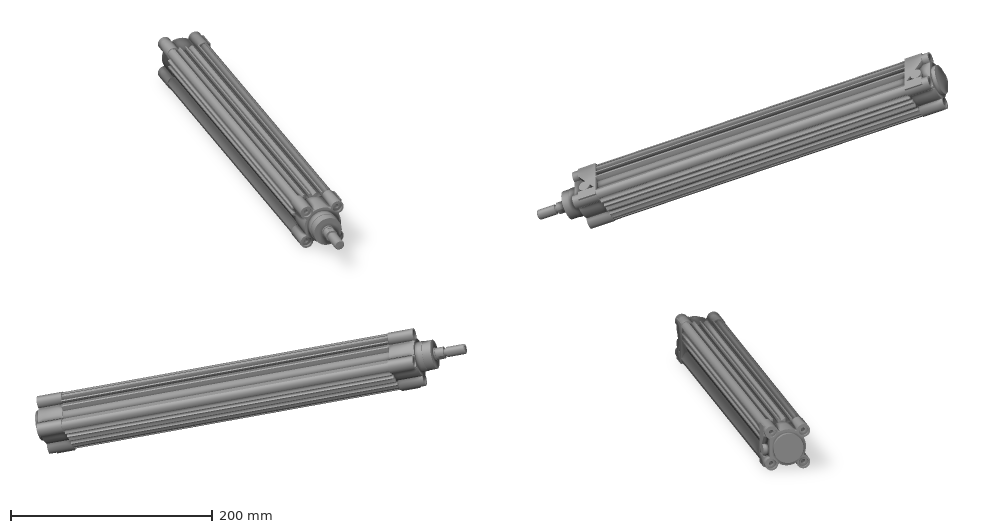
import cadquery as cq
import math


total_length = 446.0
stub_length = 4.0
cap_length = 26.0
nose_length = 16.0
collar_length = 7.0
thread_length = 22.0
relief_length = 2.5
rod_reach = 26.5
barrel_start = stub_length + cap_length
front_face = total_length - thread_length - rod_reach
barrel_end = front_face - cap_length
barrel_length = barrel_end - barrel_start

cap_width = 46.0
boss_pitch = 32.5
boss_radius = (cap_width - boss_pitch) / 2
core_half_width = 16.5
pad_radius = 18.7
pad_half_width = 7.5
stub_radius = 15.0
nose_radius = 14.5
lip_radius = 6.5
lip_length = 2.0
recess_radius = 5.0
recess_depth = 2.5
screw_hole_radius = 2.2
screw_hole_depth = 11.0
drill_tip_depth = 1.5
boss_centres = [(y * boss_pitch / 2, z * boss_pitch / 2) for y in (-1, 1) for z in (-1, 1)]

block_setback = 6.5
block_slope_run = 17.0
block_half_height = 21.0
block_root = 18.0
block_slope_half_height = 10.5
port_radius = 6.0
port_drop = 5.0
port_setback = 7.5

barrel_half_width = 22.5
tube_radius = 18.0
corner_radius = barrel_half_width - boss_pitch / 2
slot_inner = 4.0
slot_outer = 9.0
slot_undercut = 0.5
slot_lip = 2.5
slot_floor = 18.0
vee_half_width = 2.5
vee_floor = 20.0
groove_inner = 10.3
groove_bottom = 12.5
ledge_inner = 15.0
ledge_outer = 17.5
ledge_height = 21.5
groove_floor = 18.7
hollow_edge = 9.5
hollow_edge_height = 18.5
hollow_outer = 15.5

rod_diameter = 12.0
rod_radius = rod_diameter / 2
thread_diameter = 10.3
thread_radius = thread_diameter / 2
relief_radius = 4.0
thread_chamfer = 1.0
flats_width = 10.5
flats_length = 6.0


def cylinder_x(radius, start, length):
    """Solid round bar along X."""
    return cq.Workplane("YZ", origin=(start, 0, 0)).circle(radius).extrude(length)


def box_x(start, length, y_min, y_max, z_min, z_max):
    """Block given by its start and length along X and its Y and Z limits."""
    box = cq.Workplane("XY").box(length, y_max - y_min, z_max - z_min, centered=False)
    return box.translate((start, y_min, z_min))


def make_cap_core():
    """Square core with a clipped round pad swelling from its sides."""
    core = box_x(0, cap_length, -core_half_width, core_half_width, -core_half_width, core_half_width)
    disc = cylinder_x(pad_radius, 0, cap_length)
    upright = box_x(0, cap_length, -pad_half_width, pad_half_width, -pad_radius, pad_radius)
    level = box_x(0, cap_length, -pad_radius, 0, -pad_half_width, pad_half_width)
    return core.union(disc.intersect(upright.union(level)))


def make_port_block():
    """Block on the +Y side, with a boss for the port in front of its sloping face."""
    outer_y = cap_width / 2
    block_length = cap_length - block_setback
    block = box_x(block_setback, block_length, block_root, outer_y, -block_half_height, block_half_height)
    root = box_x(0, cap_length, 0, block_root, -block_slope_half_height, block_slope_half_height)
    slope_outline = [
        (block_setback, block_slope_half_height),
        (block_setback + block_slope_run, -block_slope_half_height),
        (block_setback, -block_slope_half_height),
    ]
    slope = cq.Workplane("XZ").polyline(slope_outline).close().extrude(-outer_y)
    port = (
        cq.Workplane("XZ", origin=(port_setback + port_radius, 0, -port_drop))
        .circle(port_radius)
        .extrude(-outer_y)
    )
    return block.cut(slope).union(root).union(port)


def make_screw_hole():
    """Cutter for a recessed screw hole with a conical tip, entering along +X from X = 0."""
    outline = [
        (0, 0),
        (0, recess_radius),
        (recess_depth, recess_radius),
        (recess_depth, screw_hole_radius),
        (screw_hole_depth, screw_hole_radius),
        (screw_hole_depth + drill_tip_depth, 0),
    ]
    return cq.Workplane("XY").polyline(outline).close().revolve(360, (0, 0, 0), (1, 0, 0))


def make_cap_body():
    """Cap with its outer face at X = 0 and its inner face at X = cap_length."""
    bosses = cq.Workplane("YZ").pushPoints(boss_centres).circle(boss_radius).extrude(cap_length)
    cap = make_cap_core().union(bosses).union(make_port_block())
    hole = make_screw_hole()
    for y, z in boss_centres:
        cap = cap.cut(hole.translate((0, y, z)))
    return cap


def make_rear_cap():
    cap = make_cap_body().translate((stub_length, 0, 0))
    return cap.union(cylinder_x(stub_radius, 0, barrel_start))


def make_front_cap():
    cap = make_cap_body().mirror("YZ").translate((front_face, 0, 0))
    cap = cap.union(cylinder_x(stub_radius, barrel_end, cap_length + collar_length))
    cap = cap.union(cylinder_x(nose_radius, barrel_end, cap_length + nose_length))
    bore_length = cap_length + nose_length + lip_length
    cap = cap.union(cylinder_x(lip_radius, barrel_end, bore_length))
    return cap.cut(cylinder_x(rod_radius, barrel_end, bore_length))


def along_barrel(outline):
    """Cutter along the whole barrel from a closed Y, Z outline."""
    return outline.close().extrude(barrel_length)


def barrel_sketch():
    return cq.Workplane("YZ", origin=(barrel_start, 0, 0))


def make_half_side_grooves():
    """Undercut slot and V-groove with a shallow ledge on the +Y half of the +Z side."""
    top = barrel_half_width
    slot = along_barrel(
        barrel_sketch().polyline(
            [
                (slot_inner, top),
                (slot_inner, slot_floor),
                (slot_outer + slot_undercut, slot_floor),
                (slot_outer + slot_undercut, top - slot_lip),
                (slot_outer, top - slot_lip),
                (slot_outer, top),
            ]
        )
    )
    groove = along_barrel(
        barrel_sketch().polyline(
            [
                (groove_inner, top),
                (groove_bottom, groove_floor),
                (ledge_inner, ledge_height),
                (ledge_outer, ledge_height),
                (ledge_outer, top),
            ]
        )
    )
    return slot.union(groove)


def make_centre_vee():
    """Shallow V-groove along the middle of the +Z side."""
    top = barrel_half_width
    return along_barrel(
        barrel_sketch().polyline([(-vee_half_width, top), (0, vee_floor), (vee_half_width, top)])
    )


def make_hollow():
    """Wide hollow down to the round tube on the -Y half of the +Z side."""
    top = barrel_half_width
    middle = hollow_edge / 2
    return along_barrel(
        barrel_sketch()
        .moveTo(vee_half_width, top)
        .lineTo(0, tube_radius)
        .threePointArc(
            (-middle, math.sqrt(tube_radius**2 - middle**2)),
            (-hollow_edge, math.sqrt(tube_radius**2 - hollow_edge**2)),
        )
        .lineTo(-hollow_edge, hollow_edge_height)
        .lineTo(-hollow_outer, top)
    )


def make_barrel():
    half = barrel_half_width
    barrel = box_x(barrel_start, barrel_length, -half, half, -half, half).edges("|X").fillet(corner_radius)
    half_grooves = make_half_side_grooves()

    top_cut = half_grooves.union(half_grooves.mirror("XZ")).union(make_centre_vee())
    barrel = barrel.cut(top_cut).cut(top_cut.mirror("XY"))

    front_cut = half_grooves.union(make_hollow()).rotate((0, 0, 0), (1, 0, 0), 90)
    return barrel.cut(front_cut).cut(front_cut.mirror("XZ"))


def make_rod():
    shoulder = total_length - thread_length
    rod = cylinder_x(rod_radius, barrel_end, shoulder - barrel_end)
    flat_height = rod_radius - flats_width / 2
    flat = cq.Workplane("XY").box(flats_length, rod_diameter, flat_height)
    for side in (-1, 1):
        flat_z = side * (flats_width + flat_height) / 2
        rod = rod.cut(flat.translate((shoulder - flats_length / 2, 0, flat_z)))
    thread = cylinder_x(thread_radius, shoulder, thread_length).faces(">X").chamfer(thread_chamfer)
    rod = rod.union(thread)
    relief = cylinder_x(rod_radius, shoulder, relief_length)
    return rod.cut(relief.cut(cylinder_x(relief_radius, shoulder, relief_length)))


rear_cap = make_rear_cap()
barrel = make_barrel()
front_cap = make_front_cap()
rod = make_rod()

result = cq.Compound.makeCompound([rear_cap.val(), barrel.val(), front_cap.val(), rod.val()])